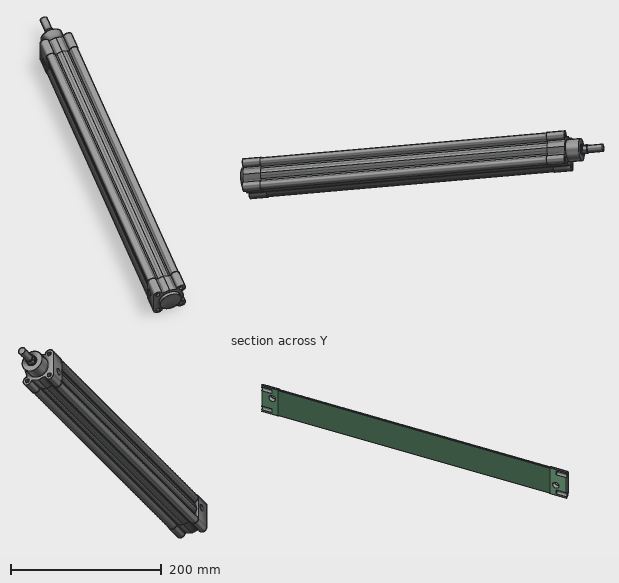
import cadquery as cq
import math

overall_length = 496.0
thread_length = 20.5
collar_start = 30.0
front_head_start = 47.5
head_length = 24.5
spigot_length = 4.5
rear_head_start = overall_length - spigot_length - head_length
front_head_end = front_head_start + head_length

thread_diameter = 10.0
rod_diameter = 12.0
shoulder_chamfer = (rod_diameter - thread_diameter) / 2
flat_width = 10.5
flat_start = thread_length + shoulder_chamfer
flat_length = 5.5

collar_diameter = 30.0
seal_diameter = 14.0
seal_length = 1.5

overall_width = 45.0
bolt_spacing = 32.5
bolt_offset = bolt_spacing / 2
core_half_width = 17.5
ridge_height = 20.0

head_roof = [(0, ridge_height), (8.0, core_half_width)]
barrel_roof = [(0, ridge_height), (3.7, 19.0), (7.5, core_half_width)]

head_lobe_radius = overall_width / 2 - bolt_offset
screw_hole_diameter = 5.5
screw_hole_depth = 15.0
port_diameter = 9.0
port_depth = 7.5
port_setback = 9.0
port_height = 5.0

rib_radius = 5.5
rib_angles = (45, 135, 225, 315)


def cylinder(start, length, diameter):
    """Cylinder on the X axis."""
    return cq.Workplane("YZ", origin=(start, 0, 0)).circle(diameter / 2).extrude(length)


def corner_posts(start, length, diameter):
    """Four cylinders along X at the bolt positions."""
    plane = cq.Workplane("YZ", origin=(start, 0, 0))
    centres = plane.rect(bolt_spacing, bolt_spacing, forConstruction=True).vertices()
    return centres.circle(diameter / 2).extrude(length)


def roofed_core(start, length, roof):
    """Square prism along X with the same low roof on each of its four sides."""
    mirrored_roof = [(-across, out) for across, out in reversed(roof[1:])]
    side = mirrored_roof + roof + [(core_half_width, core_half_width)]
    points = []
    for _ in range(4):
        points += side
        side = [(out, -across) for across, out in side]
    return cq.Workplane("YZ", origin=(start, 0, 0)).polyline(points).close().extrude(length)


def make_head(start, screw_start, port_x, port_z):
    """Head block with tapped corner holes and an air port in its -Y face."""
    half_width = overall_width / 2
    port_side = cq.Workplane("XY").box(
        head_length, half_width, bolt_spacing, centered=(False, False, True)
    ).translate((start, -half_width, 0))
    head = roofed_core(start, head_length, head_roof)
    head = head.union(corner_posts(start, head_length, 2 * head_lobe_radius)).union(port_side)
    port_plane = cq.Workplane("XZ", origin=(port_x, -half_width, port_z))
    port = port_plane.circle(port_diameter / 2).extrude(-port_depth)
    return head.cut(corner_posts(screw_start, screw_hole_depth, screw_hole_diameter)).cut(port)


def make_front_head():
    """Front head with its guide collar and seal lip, bored for the rod."""
    head = make_head(front_head_start, front_head_start, front_head_end - port_setback, -port_height)
    collar = cylinder(collar_start, front_head_start - collar_start, collar_diameter)
    seal = cylinder(collar_start - seal_length, seal_length, seal_diameter)
    rod_bore = cylinder(collar_start - seal_length, front_head_end - collar_start + seal_length, rod_diameter)
    return head.union(collar).union(seal).cut(rod_bore)


def make_rear_head():
    """Rear head with its centring spigot."""
    rear_face = overall_length - spigot_length
    head = make_head(
        rear_head_start, rear_face - screw_hole_depth, rear_head_start + port_setback, port_height
    )
    return head.union(cylinder(rear_face, spigot_length, collar_diameter))


def make_barrel():
    """Roofed square barrel with a rounded rib at each corner."""
    length = rear_head_start - front_head_end
    barrel = roofed_core(front_head_end, length, barrel_roof)
    rib_reach = math.hypot(bolt_offset, bolt_offset)
    for angle in rib_angles:
        rib = (
            cq.Workplane("YZ", origin=(front_head_end, 0, 0))
            .moveTo(0, -rib_radius)
            .lineTo(rib_reach, -rib_radius)
            .threePointArc((rib_reach + rib_radius, 0), (rib_reach, rib_radius))
            .lineTo(0, rib_radius)
            .close()
            .extrude(length)
        )
        barrel = barrel.union(rib.rotate((0, 0, 0), (1, 0, 0), angle))
    return barrel


def make_piston_rod():
    """Rod with a threaded end, a chamfered shoulder and two wrench flats."""
    rod = cylinder(thread_length, front_head_end - thread_length, rod_diameter)
    rod = rod.faces("<X").chamfer(shoulder_chamfer)
    rod = rod.union(cylinder(0, thread_length, thread_diameter))
    for side in (-1, 1):
        flat = cq.Workplane("XY").box(flat_length, rod_diameter, rod_diameter, centered=(False, True, True))
        rod = rod.cut(flat.translate((flat_start, side * (flat_width + rod_diameter) / 2, 0)))
    return rod


front_head = make_front_head()
rear_head = make_rear_head()
barrel = make_barrel()
piston_rod = make_piston_rod()

result = cq.Compound.makeCompound([front_head.val(), rear_head.val(), barrel.val(), piston_rod.val()])